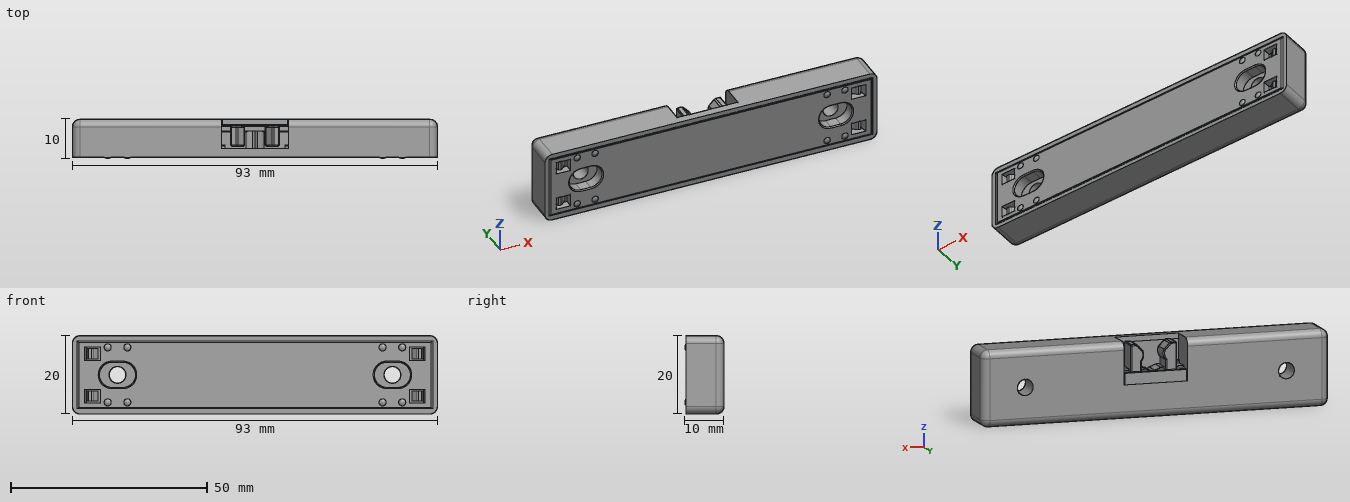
import cadquery as cq
import math

SIDES = (-1, 1)

LENGTH = 93.0
HEIGHT = 20.0
DEPTH = 9.7
EDGE_RADIUS = 2.0

COVER_END_INSET = 1.15
COVER_SIDE_INSET = 1.4
COVER_LENGTH = LENGTH - 2 * COVER_END_INSET
COVER_HEIGHT = HEIGHT - 2 * COVER_SIDE_INSET
COVER_THICKNESS = 2.2
COVER_END_CHAMFER = 0.55
COVER_SIDE_CHAMFER = 0.3

SCREW_X = 35.0
SCREW_HOLE_DIAMETER = 4.2
SLOT_LENGTH = 9.2
SLOT_WIDTH = 6.4
SLOT_CHAMFER = 0.3
SLOT_CHAMFER_ANGLE = 45
COLLAR_WALL = 1.0
COLLAR_DEPTH = 3.3

DOT_RADIUS = 0.9
DOT_HEIGHT = 0.3
DOT_SHOULDER = 0.23
DOT_ROOT = 1.0
DOT_OFFSET_X = 2.5
DOT_Z = 7.0

WINDOW_X = 41.35
WINDOW_Z = 5.4
WINDOW_LENGTH = 4.0
WINDOW_HEIGHT = 3.4
WINDOW_WALL_SLOPE = 0.4
CATCH_HEIGHT = 2.6
CATCH_TOP_Y = 0.8
CATCH_STEP_Y = 1.1
CATCH_TOP_OUTER = 1.0
CATCH_TOP_INNER = 0.3
CATCH_RAMP_START = -0.2
CATCH_HALF_LENGTH = 1.4

POCKET_HALF_WIDTH = 8.5
POCKET_FRONT_Y = COVER_THICKNESS
POCKET_FLOOR_Z = -1.0

CLIP_BACK_Y = 8.1
CLIP_TOP_Z = 2.4
CLIP_STEP_Y = 6.7
CLIP_STEP_DROP = 0.8
CLIP_BEVEL = 0.28
CRADLE_RADIUS = 4.0
CRADLE_HALF_WIDTH = 4.5 / 2
GROOVE_HALF_WIDTH = 0.6
GROOVE_DEPTH = 1.3
PAD_WIDTH = 0.9
PAD_LENGTH = 1.0
PAD_HEIGHT = 0.8
PAD_CHAMFER = 0.3

TAB_GAP = 0.25
TAB_FRONT_Y = CLIP_BACK_Y + TAB_GAP
TAB_TOP_Z = 2.0

HOOK_FRONT_Y = 2.8
HOOK_BACK_Y = 7.95
HOOK_END_CHAMFER = 0.3
HOOK_OUTER_X = 6.2
HOOK_OUTER_BEVEL = 0.25
HOOK_TOP_Z = 8.95
HOOK_TOP_INNER_X = 4.8
HOOK_RAMP_TOP = (4.3, 8.7)
HOOK_RAMP_END = (2.85, 7.2)
HOOK_NOSE = (2.6, 6.0)
HOOK_UNDERCUT = (3.2, 4.5)


def span(x_start, x_end, y_start, y_end, z_start, z_end):
    """Box between pairs of X, Y and Z planes."""
    box = cq.Workplane("XY").box(x_end - x_start, y_end - y_start, z_end - z_start, centered=False)
    return box.translate((x_start, y_start, z_start))


def plate(x_size, z_size, thickness):
    """Plate centred on X and Z, reaching back from the front face."""
    return span(-x_size / 2, x_size / 2, 0, thickness, -z_size / 2, z_size / 2)


def slot_prism(x, length, width, depth):
    """Slot-shaped prism reaching back from the front face."""
    return cq.Workplane("XZ").center(x, 0).slot2D(length, width).extrude(-depth)


def slot_rim(x):
    """Cutter for the chamfered front rim of a mounting slot."""
    growth = 2 * SLOT_CHAMFER
    outline = cq.Workplane("XZ").center(x, 0).slot2D(SLOT_LENGTH + growth, SLOT_WIDTH + growth)
    return outline.extrude(-SLOT_CHAMFER, taper=SLOT_CHAMFER_ANGLE)


def add_collars(cover):
    """Join the solid slot collars to the back of the cover plate."""
    length = SLOT_LENGTH + 2 * COLLAR_WALL
    width = SLOT_WIDTH + 2 * COLLAR_WALL
    for side in SIDES:
        cover = cover.union(slot_prism(side * SCREW_X, length, width, COLLAR_DEPTH))
    return cover


def window_prism(x_side, z_side, outline, height):
    """Prism along Z from an outline of (outward distance, Y) about a window centre."""
    points = [(x_side * (WINDOW_X + outward), y) for outward, y in outline]
    start_z = z_side * WINDOW_Z - height / 2
    return cq.Workplane("XY").workplane(offset=start_z).polyline(points).close().extrude(height)


def make_window(x_side, z_side):
    """Cutter for a cover window whose outer wall slopes inward."""
    half_length = WINDOW_LENGTH / 2
    outline = [
        (-half_length, 0),
        (half_length, 0),
        (half_length - WINDOW_WALL_SLOPE, COVER_THICKNESS),
        (-half_length, COVER_THICKNESS),
    ]
    return window_prism(x_side, z_side, outline, WINDOW_HEIGHT)


def make_catch(x_side, z_side):
    """Stepped catch with a ramp facing the middle of the housing."""
    outline = [
        (CATCH_HALF_LENGTH, COVER_THICKNESS),
        (CATCH_TOP_OUTER, CATCH_TOP_Y),
        (CATCH_TOP_INNER, CATCH_TOP_Y),
        (CATCH_RAMP_START, CATCH_STEP_Y),
        (-CATCH_HALF_LENGTH, COVER_THICKNESS),
    ]
    return window_prism(x_side, z_side, outline, CATCH_HEIGHT)


def make_dot(x, z):
    """Shallow dome standing out of the front face."""
    half_profile = (
        cq.Workplane("XY")
        .moveTo(0, -DOT_HEIGHT)
        .threePointArc((DOT_RADIUS / 2, -DOT_SHOULDER), (DOT_RADIUS, 0))
        .lineTo(DOT_RADIUS, DOT_ROOT)
        .lineTo(0, DOT_ROOT)
        .close()
    )
    return half_profile.revolve(360, (0, 0, 0), (0, 1, 0)).translate((x, 0, z))


def make_housing():
    body = plate(LENGTH, HEIGHT, DEPTH)
    body = body.edges("|Y").fillet(EDGE_RADIUS)
    body = body.faces(">Y").edges().fillet(EDGE_RADIUS)

    body = body.cut(add_collars(plate(COVER_LENGTH, COVER_HEIGHT, COVER_THICKNESS)))

    for x_side in SIDES:
        hole = cq.Workplane("XZ").center(x_side * SCREW_X, 0).circle(SCREW_HOLE_DIAMETER / 2)
        body = body.cut(hole.extrude(-DEPTH))
        for z_side in SIDES:
            body = body.union(make_catch(x_side, z_side))

    pocket = span(-POCKET_HALF_WIDTH, POCKET_HALF_WIDTH, POCKET_FRONT_Y, DEPTH, POCKET_FLOOR_Z, HEIGHT / 2)
    return body.cut(pocket)


def make_cover():
    cover = plate(COVER_LENGTH, COVER_HEIGHT, COVER_THICKNESS)
    cover = cover.faces("<Y").edges("|Z").chamfer(COVER_END_CHAMFER)
    cover = cover.faces("<Y").edges("|X").chamfer(COVER_SIDE_CHAMFER)
    cover = add_collars(cover)
    for x_side in SIDES:
        x = x_side * SCREW_X
        cover = cover.cut(slot_prism(x, SLOT_LENGTH, SLOT_WIDTH, COLLAR_DEPTH)).cut(slot_rim(x))
        for z_side in SIDES:
            cover = cover.cut(make_window(x_side, z_side))
            for offset in (-DOT_OFFSET_X, DOT_OFFSET_X):
                cover = cover.union(make_dot(x + offset, z_side * DOT_Z))
    return cover


def make_entry_tab():
    half_width = POCKET_HALF_WIDTH - TAB_GAP
    return span(-half_width, half_width, TAB_FRONT_Y, DEPTH, POCKET_FLOOR_Z, TAB_TOP_Z)


def make_hook(side):
    """Clip hook with a lead-in ramp and a rounded nose facing the cable."""
    hook_profile = (
        cq.Workplane("XZ", origin=(0, HOOK_FRONT_Y, 0))
        .moveTo(HOOK_OUTER_X, POCKET_FLOOR_Z)
        .lineTo(HOOK_OUTER_X, HOOK_TOP_Z - HOOK_OUTER_BEVEL)
        .lineTo(HOOK_OUTER_X - HOOK_OUTER_BEVEL, HOOK_TOP_Z)
        .lineTo(HOOK_TOP_INNER_X, HOOK_TOP_Z)
        .lineTo(*HOOK_RAMP_TOP)
        .lineTo(*HOOK_RAMP_END)
        .threePointArc(HOOK_NOSE, HOOK_UNDERCUT)
        .lineTo(HOOK_UNDERCUT[0], POCKET_FLOOR_Z)
        .close()
    )
    hook = hook_profile.extrude(HOOK_FRONT_Y - HOOK_BACK_Y)
    hook = hook.faces("<Y or >Y").edges().chamfer(HOOK_END_CHAMFER)
    if side < 0:
        hook = hook.mirror("YZ")
    return hook


def make_pad(side):
    """Small bevelled pad in a front corner of the clip base."""
    x_start, x_end = sorted((side * POCKET_HALF_WIDTH, side * (POCKET_HALF_WIDTH - PAD_WIDTH)))
    pad_back_y = POCKET_FRONT_Y + PAD_LENGTH
    pad = span(x_start, x_end, POCKET_FRONT_Y, pad_back_y, CLIP_TOP_Z, CLIP_TOP_Z + PAD_HEIGHT)
    return pad.edges(">Y and >Z").chamfer(PAD_CHAMFER)


def make_clip_base():
    """Base with a lower step along its back and bevelled step edges."""
    step_z = CLIP_TOP_Z - CLIP_STEP_DROP
    outline = [
        (POCKET_FRONT_Y, POCKET_FLOOR_Z),
        (POCKET_FRONT_Y, CLIP_TOP_Z),
        (CLIP_STEP_Y - CLIP_BEVEL, CLIP_TOP_Z),
        (CLIP_STEP_Y, CLIP_TOP_Z - CLIP_BEVEL),
        (CLIP_STEP_Y, step_z),
        (CLIP_BACK_Y - CLIP_BEVEL, step_z),
        (CLIP_BACK_Y, step_z - CLIP_BEVEL),
        (CLIP_BACK_Y, POCKET_FLOOR_Z),
    ]
    return cq.Workplane("YZ").polyline(outline).close().extrude(POCKET_HALF_WIDTH, both=True)


def make_cable_clip():
    clip = make_clip_base()

    cradle_axis_height = math.sqrt(CRADLE_RADIUS**2 - CRADLE_HALF_WIDTH**2)
    clip_length = CLIP_BACK_Y - POCKET_FRONT_Y
    section = cq.Workplane("XZ", origin=(0, POCKET_FRONT_Y, CLIP_TOP_Z))
    cradle = section.center(0, cradle_axis_height).circle(CRADLE_RADIUS).extrude(-clip_length)
    groove_top = cradle_axis_height - CRADLE_RADIUS
    groove_outline = [
        (-GROOVE_HALF_WIDTH, 0),
        (-GROOVE_HALF_WIDTH, groove_top),
        (0, -GROOVE_DEPTH),
        (GROOVE_HALF_WIDTH, groove_top),
        (GROOVE_HALF_WIDTH, 0),
    ]
    groove_length = CLIP_STEP_Y - POCKET_FRONT_Y
    groove = section.polyline(groove_outline).close().extrude(-groove_length)
    clip = clip.cut(cradle).cut(groove)

    for side in SIDES:
        clip = clip.union(make_hook(side)).union(make_pad(side))
    return clip


housing = make_housing()
cover = make_cover()
entry_tab = make_entry_tab()
cable_clip = make_cable_clip()

bodies = [housing, cover, entry_tab, cable_clip]
result = cq.Compound.makeCompound([body.solids().val() for body in bodies])